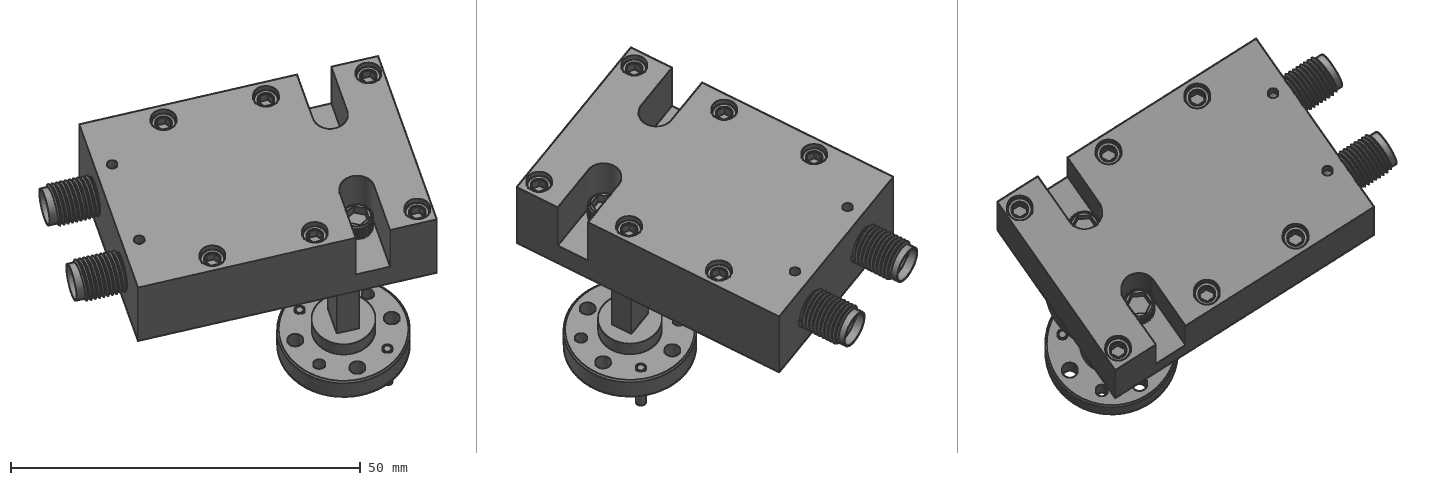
import cadquery as cq
import math


housing_width = 30.45
housing_length = 44.45
housing_height = 12.7

pair_offset = 7.0

cover_screw_edge_gap = 2.55
cover_screw_back_gap = 2.2
cover_screw_pitch = 15.25
cover_screw_rows = 3
cover_head_diameter = 3.75
cover_head_sink = 0.8
cover_head_chamfer = 0.2
cover_socket_flats = 2.0
cover_socket_depth = 1.55
cover_countersink_diameter = 2.45
cover_countersink_depth = 0.1

slot_width = 5.1
slot_depth = 8.7
slot_head_diameter = 4.65
slot_head_height = 2.6
slot_head_chamfer = 0.35
slot_socket_flats = 3.05
slot_socket_depth = 1.55

knurl_teeth = 36
knurl_depth = 0.15

drill_diameter = 1.5
drill_depth = 2.1
drill_front_gap = 2.55
drill_point_angle = 118

flange_diameter = 19.0
flange_thickness = 3.8
flange_chamfer = 0.25
hub_diameter = 9.15
hub_height = 2.45
waveguide_width = 4.5
waveguide_depth = 3.35
waveguide_length = 33.0

bolt_circle_radius = 7.15
bolt_hole_diameter = 2.3
bolt_hole_angles = (0, 90, 180, 270)
dowel_hole_diameter = 1.75
dowel_hole_angles = (135, 315)
pin_angles = (45, 225)
pin_diameter = 1.5
pin_length = 4.15
pin_chamfer = 0.2

overall_length = 52
connector_length = overall_length - housing_length
connector_z = 6.25
connector_core_diameter = 5.45
thread_diameter = 6.2
thread_length = 6.35
thread_turns = 10
thread_root_gap = 0.035
thread_root_overlap = 0.05
thread_start_angle = 180
socket_diameter = 5.1
socket_depth = 1.8
socket_step_diameter = 4.9
socket_step_height = 0.4
contact_hole_diameter = 0.25
contact_hole_depth = 0.5

flange_y = housing_length - flange_diameter / 2
slot_floor_z = housing_height - slot_depth
lower_flange_z = -waveguide_length
thread_pitch = thread_length / thread_turns
thread_base = thread_pitch - thread_root_gap


def cylinder(x, y, z, diameter, height):
    return cq.Workplane("XY", origin=(x, y, z)).circle(diameter / 2).extrude(height)


def hexagon_prism(x, y, z, flats, height, turn=0):
    across_corners = flats / math.cos(math.pi / 6)
    prism = cq.Workplane("XY").polygon(6, across_corners).extrude(height)
    return prism.rotate((0, 0, 0), (0, 0, 1), turn).translate((x, y, z))


def knurled_prism(x, y, z, diameter, height):
    """Upright prism with V-shaped knurling around it."""
    points = []
    for i in range(2 * knurl_teeth):
        radius = diameter / 2 - knurl_depth * (i % 2)
        angle = math.pi * i / knurl_teeth
        points.append((radius * math.cos(angle), radius * math.sin(angle)))
    return cq.Workplane("XY").polyline(points).close().extrude(height).translate((x, y, z))


def cover_screw_recess(x, y):
    """Round recess down to a chamfered screw head with a countersunk hexagon socket."""
    head_z = housing_height - cover_head_sink
    recess_z = head_z - cover_head_chamfer
    recess = cylinder(x, y, recess_z, cover_head_diameter, housing_height - recess_z)
    head_bottom_z = head_z - 2 * cover_head_chamfer
    head = cylinder(x, y, head_bottom_z, cover_head_diameter, 2 * cover_head_chamfer)
    head = head.faces(">Z").chamfer(cover_head_chamfer)
    socket = hexagon_prism(
        x, y, head_z - cover_socket_depth, cover_socket_flats, cover_socket_depth, turn=30
    )
    countersink = cylinder(
        x, y, head_z - cover_countersink_depth, cover_countersink_diameter, cover_countersink_depth
    )
    return recess.cut(head).union(socket).union(countersink)


def side_slot(side):
    """Round-ended slot, open at the top and at one side of the housing."""
    slot_run = housing_width / 2 - pair_offset
    slot_middle = side * (pair_offset + slot_run / 2)
    floor = cq.Workplane("XY", origin=(slot_middle, flange_y, slot_floor_z))
    straight = floor.rect(slot_run, slot_width).extrude(slot_depth)
    round_end = cylinder(side * pair_offset, flange_y, slot_floor_z, slot_width, slot_depth)
    return straight.union(round_end)


def slot_screw_head(x):
    """Knurled socket head standing on the slot floor."""
    limit = cylinder(x, flange_y, slot_floor_z, slot_head_diameter, slot_head_height)
    limit = limit.faces(">Z").chamfer(slot_head_chamfer)
    head = knurled_prism(x, flange_y, slot_floor_z, slot_head_diameter, slot_head_height)
    socket_z = slot_floor_z + slot_head_height - slot_socket_depth
    socket = hexagon_prism(x, flange_y, socket_z, slot_socket_flats, slot_socket_depth)
    return head.intersect(limit).cut(socket)


def drilled_hole(x):
    """Blind hole with a conical bottom."""
    radius = drill_diameter / 2
    point_depth = radius / math.tan(math.radians(drill_point_angle / 2))
    outline = [(0, 0), (radius, 0), (radius, -drill_depth), (0, -drill_depth - point_depth)]
    hole = cq.Workplane("XZ").polyline(outline).close().revolve(360, (0, 0), (0, 1))
    return hole.translate((x, drill_front_gap, housing_height))


def flange(z):
    """Disc with chamfered rims, resting on height z."""
    disc = cylinder(0, flange_y, z, flange_diameter, flange_thickness)
    return disc.faces("<Z or >Z").chamfer(flange_chamfer)


def on_bolt_circle(angle):
    turn = math.radians(angle)
    return bolt_circle_radius * math.cos(turn), flange_y + bolt_circle_radius * math.sin(turn)


def lower_flange():
    """Flange with bolt holes, dowel holes and two dowel pins."""
    plate = flange(lower_flange_z)
    hole_groups = [
        (bolt_hole_diameter, bolt_hole_angles),
        (dowel_hole_diameter, dowel_hole_angles),
        (pin_diameter, pin_angles),
    ]
    for diameter, angles in hole_groups:
        for angle in angles:
            hole = cylinder(*on_bolt_circle(angle), lower_flange_z, diameter, flange_thickness)
            plate = plate.cut(hole)
    for angle in pin_angles:
        pin = cylinder(
            *on_bolt_circle(angle), lower_flange_z - pin_length, pin_diameter, pin_length + flange_thickness
        )
        plate = plate.union(pin.faces("<Z or >Z").chamfer(pin_chamfer))
    return plate


def waveguide():
    """Upper flange, rectangular tube and lower flange with their hubs."""
    tube = cq.Workplane("XY", origin=(0, flange_y, lower_flange_z))
    tube = tube.rect(waveguide_width, waveguide_depth).extrude(waveguide_length)
    upper_hub = cylinder(0, flange_y, -flange_thickness - hub_height, hub_diameter, hub_height)
    lower_hub = cylinder(0, flange_y, lower_flange_z + flange_thickness, hub_diameter, hub_height)
    upper = flange(-flange_thickness).union(upper_hub)
    lower = lower_flange().union(lower_hub)
    return upper.union(lower).union(tube)


def make_housing():
    block = cq.Workplane("XY").box(
        housing_width, housing_length, housing_height, centered=(True, False, False)
    )
    for side in (-1, 1):
        block = block.cut(side_slot(side))
        block = block.union(slot_screw_head(side * pair_offset))
        block = block.cut(drilled_hole(side * pair_offset))
        for row in range(cover_screw_rows):
            x = side * (housing_width / 2 - cover_screw_edge_gap)
            y = housing_length - cover_screw_back_gap - row * cover_screw_pitch
            block = block.cut(cover_screw_recess(x, y))
    return block.union(waveguide())


def thread_ridge():
    """Right-hand helical ridge around Z, with the first section centred on z = 0."""
    core_radius = connector_core_diameter / 2
    root_radius = core_radius - thread_root_overlap
    helix = cq.Wire.makeHelix(thread_pitch, thread_length, core_radius)
    profile = [
        (root_radius, -thread_base / 2),
        (thread_diameter / 2, 0),
        (root_radius, thread_base / 2),
    ]
    section = cq.Workplane("XZ").polyline(profile).close()
    return section.sweep(cq.Workplane(helix), isFrenet=True)


def make_connector(x):
    """Threaded barrel with a socket at its open end, standing on the housing front."""
    barrel = cylinder(0, 0, 0, connector_core_diameter, connector_length)
    barrel = barrel.union(thread_ridge().rotate((0, 0, 0), (0, 0, 1), thread_start_angle))
    base = cylinder(0, 0, -thread_pitch, 2 * thread_diameter, thread_pitch)
    socket_z = connector_length - socket_depth
    socket_step_z = socket_z + socket_step_height
    socket = cylinder(0, 0, socket_step_z, socket_diameter, connector_length - socket_step_z)
    socket = socket.union(cylinder(0, 0, socket_z, socket_step_diameter, socket_step_height))
    contact = cylinder(0, 0, socket_z - contact_hole_depth, contact_hole_diameter, contact_hole_depth)
    barrel = barrel.cut(base).cut(socket).cut(contact)
    return barrel.rotate((0, 0, 0), (1, 0, 0), 90).translate((x, 0, connector_z))


housing = make_housing()
connectors = [make_connector(side * pair_offset) for side in (-1, 1)]

result = cq.Compound.makeCompound([housing.val(), *[connector.val() for connector in connectors]])